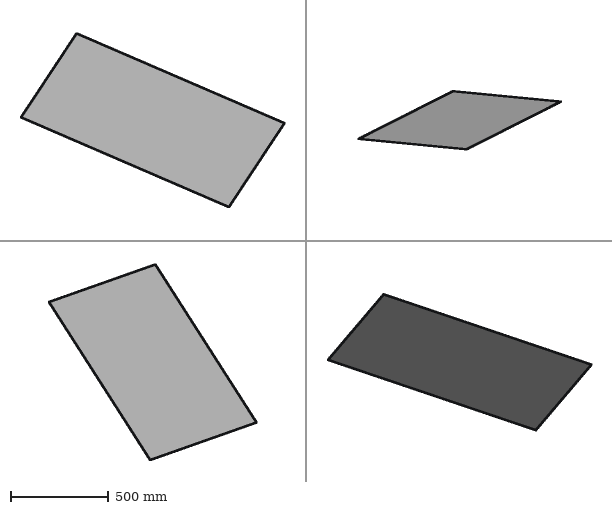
import cadquery as cq

length = 1213.0
width = length / 2
thickness = 1.0

result = cq.Workplane("XY").box(length, width, thickness)